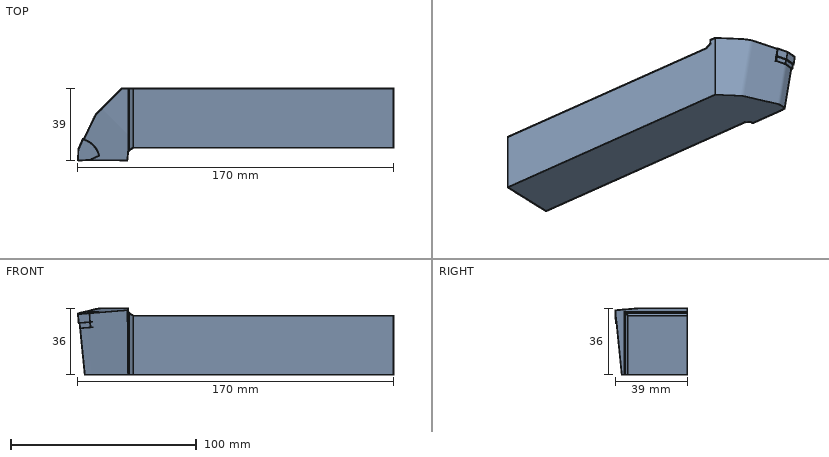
import cadquery as cq
import math

length = 170.0
shank = 32.0
head_height = 36.0
head_back = 27.2

crease_sum = 34.0
rake_angle = 6.7
rake = math.tan(math.radians(rake_angle)) / math.sqrt(2)

lean = 0.1
left_x = 3.7
front_y = -3.4
back_diagonal = 8.3
flank_corner_x = 13.3
flank_foot_y = 2.2
nose_y = -3.0
facet_end = (6.6, -3.32)
front_start_x = 7.5
back_wall_radius = 5.1
flank_radius = 3.4
nose_radius = 1.0

overhang_start_y = -1.9
overhang_end = (26.7, -7.1)

flare_end = 30.0
flare_break = 27.7
flare_break_rise = 1.4
flare_rise = 2.0

tip_y = -7.0
insert_thickness = 4.8
lower_thickness = 2.9
lower_inset = 0.5
knee_along = 6.3
knee_across = 0.3
heel_along = 11.5
heel_across = 2.7
tip_radius = 0.7
margin = 1.7


def leaning_head():
    """Outline at Z = 0 pushed up along the leaning wall direction."""
    far_x = head_back + 5 * margin
    far_y = shank + 5 * margin
    outline = [
        (left_x, nose_y),
        facet_end,
        (front_start_x, front_y),
        (far_x, front_y),
        (far_x, far_y),
        (far_y - back_diagonal, far_y),
        (flank_corner_x, flank_corner_x + back_diagonal),
        (left_x, flank_foot_y),
    ]
    wire = cq.Wire.makePolygon([cq.Vector(x, y, 0) for x, y in outline], close=True)
    rise = cq.Vector(-lean * head_height, -lean * head_height, head_height)
    head = cq.Workplane(cq.Solid.extrudeLinear(wire, [], rise))

    rounded_corners = [
        (outline[0], nose_radius),
        (outline[6], back_wall_radius),
        (outline[7], flank_radius),
    ]
    for (x, y), radius in rounded_corners:
        middle = cq.Vector(x, y, 0) + rise * 0.5
        edge = cq.selectors.NearestToPointSelector(middle.toTuple())
        head = head.edges(edge).fillet(radius)
    return head


def head_bounds():
    """Upright block that trims the head at its back and +Y faces."""
    return (
        cq.Workplane("XY")
        .polyline([
            (-margin, overhang_end[1] - margin),
            (overhang_end[0], overhang_end[1] - margin),
            overhang_end,
            (head_back, overhang_start_y),
            (head_back, shank),
            (-margin, shank),
        ])
        .close()
        .extrude(head_height)
    )


def rake_plane(x, y):
    """Plane of the sloping top face, with its origin above (x, y)."""
    z = head_height - rake * (crease_sum - x - y)
    return cq.Plane(origin=(x, y, z), xDir=(1, 0, rake), normal=(-rake, -rake, 1))


def flare():
    """Transition that widens in -Y and +Z from the shank to the head."""
    side = (
        cq.Workplane("XZ")
        .polyline([
            (head_back, 0),
            (flare_end, 0),
            (flare_end, shank),
            (flare_break, shank + flare_break_rise),
            (head_back, shank + flare_rise),
        ])
        .close()
        .extrude(length, both=True)
    )
    plan = (
        cq.Workplane("XY")
        .polyline([
            (head_back, shank),
            (flare_end, shank),
            (flare_end, 0),
            (flare_break, -flare_break_rise),
            (head_back, -flare_rise),
        ])
        .close()
        .extrude(head_height)
    )
    return side.intersect(plan)


def back_arc_middle():
    return math.hypot(heel_along, heel_across) / math.sqrt(2)


def insert_outline():
    middle = back_arc_middle()
    return (
        cq.Workplane(rake_plane(0, tip_y))
        .moveTo(0, 0)
        .lineTo(knee_along, knee_across)
        .lineTo(heel_along, heel_across)
        .threePointArc((middle, middle), (heel_across, heel_along))
        .lineTo(knee_across, knee_along)
        .close()
    )


def make_insert():
    upper = insert_outline().extrude(-insert_thickness)
    tip_edge = cq.selectors.NearestToPointSelector(
        rake_plane(0, tip_y).toWorldCoords((0, 0, -insert_thickness / 2)).toTuple()
    )
    upper = upper.edges(tip_edge).fillet(tip_radius)
    lower = (
        insert_outline()
        .offset2D(-lower_inset)
        .extrude(-insert_thickness - lower_thickness)
    )
    return upper.union(lower)


def insert_pocket():
    """Recess matching the insert's back, open towards the tip."""
    middle = back_arc_middle()
    return (
        cq.Workplane(rake_plane(0, tip_y))
        .moveTo(-margin, -margin)
        .lineTo(knee_along, -margin)
        .lineTo(knee_along, knee_across)
        .lineTo(heel_along, heel_across)
        .threePointArc((middle, middle), (heel_across, heel_along))
        .lineTo(-margin, heel_along)
        .close()
        .extrude(-insert_thickness - lower_thickness)
    )


def make_holder():
    above_rake = cq.Workplane(rake_plane(crease_sum / 2, crease_sum / 2))
    above_rake = above_rake.rect(length, length).extrude(head_height)
    head = leaning_head().intersect(head_bounds()).cut(above_rake)
    bar = cq.Workplane("XY").box(length - head_back, shank, shank, centered=False)
    bar = bar.translate((head_back, 0, 0))
    return head.union(flare()).union(bar).cut(insert_pocket())


holder = make_holder()
insert = make_insert()
result = cq.Compound.makeCompound([*holder.solids().vals(), *insert.solids().vals()])